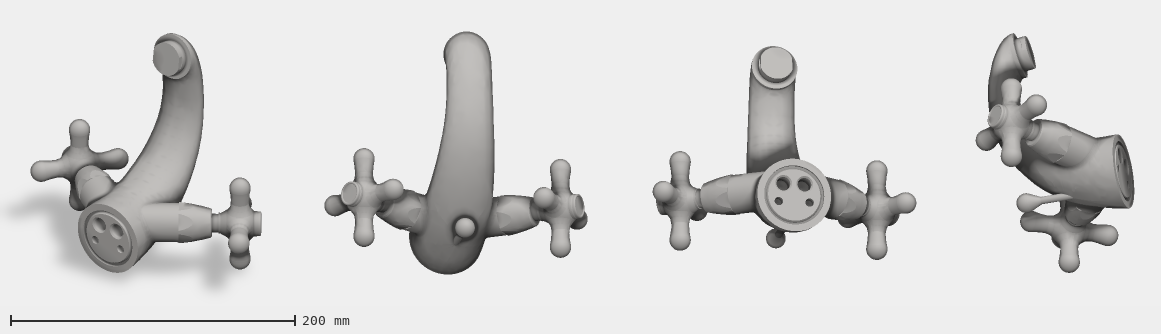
import cadquery as cq
import math


TOLERANCE = 0.002

BASE_RADIUS = 26.4
SPOUT_SECTIONS = [
    ((0.0, BASE_RADIUS), (0.0, -BASE_RADIUS), BASE_RADIUS),
    ((16.2, 26.4), (16.2, -23.0), 25.8),
    ((32.0, 28.3), (41.5, -13.5), 24.7),
    ((46.2, 32.5), (63.1, 1.1), 23.2),
    ((60.3, 40.1), (79.7, 19.8), 21.3),
    ((71.2, 51.3), (91.2, 40.0), 19.2),
    ((77.3, 63.1), (96.9, 59.4), 17.5),
    ((79.5, 78.5), (98.4, 79.1), 16.5),
    ((78.2, 90.5), (97.2, 96.1), 16.3),
    ((77.5, 93.3), (92.9, 112.1), 16.3),
    ((76.9, 94.8), (87.5, 122.9), 16.3),
]

OUTLET_CENTRE = (0, 76.0, 112.5)
OUTLET_TILT = 9.2
COLLAR_RADIUS = 16.3
COLLAR_THICKNESS = 3.0
AERATOR_RADIUS = 12.0
AERATOR_LENGTH = 7.5
AERATOR_FLAT_DISTANCE = 11.1
AERATOR_FLAT_LENGTH = 3.2

ARM_ORIGIN = (0, 11.9, 8.1)
ARM_ANGLE = 35.0
ARM_RADIUS = 13.85
ARM_BLEND = 3.8
BONNET_START = 43.0
BONNET_END = 66.1
BONNET_START_RADIUS = 14.5
BONNET_MIDDLE = (53.1, 13.2)
BONNET_END_RADIUS = 10.4
BONNET_CHAMFER = 0.8
HEX_ACROSS_FLATS = 26.4
NECK_RADIUS = 6.6

HUB_DISTANCE = 86.0
HUB_RADIUS = 13.4
HUB_BACK = 9.2
HUB_FRONT = 10.0
HUB_SHOULDER = 13.5
HUB_RING_RADIUS = 7.3
HUB_RING_END = 15.0
CAP_RADIUS = 8.7
CAP_SEAT_END = 11.9
CAP_START = 12.6
CAP_END = 14.0
CAP_FACE_RADIUS = 6.8
CAP_EDGE_HEIGHT = 0.5
BALL_RADIUS = 7.5
BALL_DISTANCE = 28.5
BALL_TANGENT = 27.1
STEM_RADIUS = 6.2
STEM_STRAIGHT_END = 17.3
STEM_FLARE_RADIUS = 10.2

GROOVE_OUTER_RADIUS = 21.5
GROOVE_FLOOR_RADIUS = 19.8
GROOVE_INNER_RADIUS = 18.7
GROOVE_DEPTH = 1.9
INLET_X = 7.5
INLET_RADIUS = 4.9
INLET_MOUTH_RADIUS = 6.0
INLET_DEPTH = 11.3
STUD_X = 11.02
STUD_Z = -5.0
STUD_RADIUS = 3.0
STUD_DEPTH = 5.7
DRILL_HALF_ANGLE = 59.0

ROD_Z = -13.2
ROD_RADIUS = 2.6
ROD_TAPER_END = 60.3
KNOB_RADIUS = 7.0
KNOB_CENTRE = 71.5
KNOB_TANGENT = 69.0


def section_wire(inner, outer, half_width):
    """Oval whose minor axis joins the inner and outer points of the spout."""
    dy = outer[0] - inner[0]
    dz = outer[1] - inner[1]
    centre = cq.Vector(0, (inner[0] + outer[0]) / 2, (inner[1] + outer[1]) / 2)
    normal = cq.Vector(0, -dz, dy)
    edge = cq.Edge.makeEllipse(
        half_width, math.hypot(dy, dz) / 2, centre, normal, xdir=cq.Vector(1, 0, 0)
    )
    return cq.Wire.assembleEdges([edge])


def outlet_plane():
    tilt = math.radians(OUTLET_TILT)
    normal = (0, -math.cos(tilt), math.sin(tilt))
    return cq.Plane(origin=OUTLET_CENTRE, xDir=(1, 0, 0), normal=normal)


def make_spout():
    wires = [section_wire(*section) for section in SPOUT_SECTIONS]
    tip = outlet_plane().toWorldCoords((0, 0, -COLLAR_THICKNESS))
    up = outlet_plane().yDir * COLLAR_RADIUS
    low = tip - up
    high = tip + up
    wires.append(section_wire((low.y, low.z), (high.y, high.z), COLLAR_RADIUS))
    return cq.Workplane(cq.Solid.makeLoft(wires))


def make_collar():
    return cq.Workplane(outlet_plane()).circle(COLLAR_RADIUS).extrude(-COLLAR_THICKNESS)


def make_aerator():
    body = cq.Workplane(outlet_plane()).circle(AERATOR_RADIUS).extrude(AERATOR_LENGTH)
    flats = (
        cq.Workplane(outlet_plane())
        .workplane(offset=AERATOR_LENGTH - AERATOR_FLAT_LENGTH)
        .rect(2 * AERATOR_FLAT_DISTANCE, 4 * AERATOR_RADIUS)
        .extrude(AERATOR_FLAT_LENGTH)
    )
    plain = (
        cq.Workplane(outlet_plane())
        .rect(4 * AERATOR_RADIUS, 4 * AERATOR_RADIUS)
        .extrude(AERATOR_LENGTH - AERATOR_FLAT_LENGTH)
    )
    return body.intersect(flats.union(plain))


def arm_plane(distance):
    """Plane square to the +X arm, with its X axis level and its Y axis up."""
    angle = math.radians(ARM_ANGLE)
    along = cq.Vector(math.cos(angle), math.sin(angle), 0)
    origin = cq.Vector(*ARM_ORIGIN) + along * distance
    return cq.Plane(origin=origin, xDir=(-along.y, along.x, 0), normal=along)


def revolved(plane, profile):
    """Turn a (radius, height) outline, drawn in the plane's ZX half plane, about the plane's normal."""
    side = cq.Plane(origin=plane.origin, xDir=plane.xDir, normal=-plane.yDir)
    return profile(cq.Workplane(side)).close().revolve(360, (0, 0, 0), (0, 1, 0))


def make_arm():
    return cq.Workplane(arm_plane(0)).circle(ARM_RADIUS).extrude(BONNET_START)


def make_bonnet():
    def profile(sketch):
        return (
            sketch.moveTo(0, BONNET_START)
            .lineTo(BONNET_START_RADIUS, BONNET_START)
            .threePointArc(
                (BONNET_MIDDLE[1], BONNET_MIDDLE[0]),
                (BONNET_END_RADIUS, BONNET_END - BONNET_CHAMFER),
            )
            .lineTo(BONNET_END_RADIUS - BONNET_CHAMFER, BONNET_END)
            .lineTo(0, BONNET_END)
        )

    hexagon = (
        cq.Workplane(arm_plane(BONNET_START))
        .transformed(rotate=(0, 0, 30))
        .polygon(6, HEX_ACROSS_FLATS, circumscribed=True)
        .extrude(BONNET_END - BONNET_START)
    )
    return revolved(arm_plane(0), profile).intersect(hexagon)


def make_neck():
    length = HUB_DISTANCE - BONNET_END
    return cq.Workplane(arm_plane(BONNET_END)).circle(NECK_RADIUS).extrude(length)


def make_hub():
    back_radius = math.sqrt(HUB_RADIUS**2 - HUB_BACK**2)
    front_radius = math.sqrt(HUB_RADIUS**2 - HUB_FRONT**2)

    def profile(sketch):
        return (
            sketch.moveTo(0, -HUB_RING_END)
            .lineTo(HUB_RING_RADIUS, -HUB_RING_END)
            .lineTo(HUB_RING_RADIUS, -HUB_SHOULDER)
            .lineTo(back_radius, -HUB_BACK)
            .threePointArc((HUB_RADIUS, 0), (front_radius, HUB_FRONT))
            .lineTo(front_radius, CAP_SEAT_END)
            .lineTo(CAP_RADIUS, CAP_START)
            .lineTo(CAP_RADIUS, CAP_END)
            .tangentArcPoint((CAP_FACE_RADIUS, CAP_END + CAP_EDGE_HEIGHT), relative=False)
            .lineTo(0, CAP_END + CAP_EDGE_HEIGHT)
        )

    return revolved(arm_plane(HUB_DISTANCE), profile)


def make_stem(turn):
    """Handle stem with a ball end, turned about the valve axis."""
    hub_plane = arm_plane(HUB_DISTANCE)
    angle = math.radians(turn)
    direction = hub_plane.xDir * math.cos(angle) + hub_plane.yDir * math.sin(angle)
    stem_plane = cq.Plane(origin=hub_plane.origin, xDir=hub_plane.zDir, normal=direction)
    ball_edge = math.sqrt(BALL_RADIUS**2 - (BALL_DISTANCE - BALL_TANGENT) ** 2)
    ball_middle = BALL_RADIUS * math.sqrt(0.5)

    def profile(sketch):
        return (
            sketch.lineTo(STEM_RADIUS, 0)
            .lineTo(STEM_RADIUS, STEM_STRAIGHT_END)
            .spline(
                [(ball_edge, BALL_TANGENT)],
                tangents=[(0, 1), (BALL_DISTANCE - BALL_TANGENT, ball_edge)],
                includeCurrent=True,
            )
            .threePointArc(
                (ball_middle, BALL_DISTANCE + ball_middle), (0, BALL_DISTANCE + BALL_RADIUS)
            )
        )

    return revolved(stem_plane, profile)


def make_handle():
    """Hub with four stems, each flaring where it leaves the hub."""
    handle = make_hub()
    for turn in (0, 90, 180, 270):
        handle = handle.union(make_stem(turn))
    hub_plane = arm_plane(HUB_DISTANCE)

    def on_root(point):
        local = hub_plane.toLocalCoords(point)
        on_sphere = abs(local.Length - HUB_RADIUS) < TOLERANCE
        return on_sphere and abs(local.z) < STEM_RADIUS + TOLERANCE

    roots = [
        edge
        for edge in handle.edges().vals()
        if all(on_root(edge.positionAt(share)) for share in (0, 0.3, 0.7, 1))
    ]
    return handle.newObject(roots).fillet(STEM_FLARE_RADIUS)


def both_sides(solid):
    return [solid, solid.mirror("YZ")]


def base_hole(x, z, radius, depth, mouth_radius):
    """Blind hole in the base face with a 45 degree mouth and a drill-point bottom."""
    tip = depth + radius / math.tan(math.radians(DRILL_HALF_ANGLE))
    mouth = [(mouth_radius, 0)] if mouth_radius > radius else []
    outline = [(0, 0), *mouth, (radius, mouth_radius - radius), (radius, depth), (0, tip)]
    return (
        cq.Workplane("XY")
        .polyline(outline)
        .close()
        .revolve(360, (0, 0, 0), (0, 1, 0))
        .translate((x, 0, z))
    )


def base_groove():
    return (
        cq.Workplane("XY")
        .polyline(
            [
                (GROOVE_INNER_RADIUS, 0),
                (GROOVE_FLOOR_RADIUS, GROOVE_DEPTH),
                (GROOVE_OUTER_RADIUS, GROOVE_DEPTH),
                (GROOVE_OUTER_RADIUS, 0),
            ]
        )
        .close()
        .revolve(360, (0, 0, 0), (0, 1, 0))
    )


def make_rod():
    knob_edge = math.sqrt(KNOB_RADIUS**2 - (KNOB_CENTRE - KNOB_TANGENT) ** 2)
    return (
        cq.Workplane("XY")
        .lineTo(ROD_RADIUS, 0)
        .lineTo(ROD_RADIUS, ROD_TAPER_END)
        .lineTo(knob_edge, KNOB_TANGENT)
        .threePointArc((KNOB_RADIUS, KNOB_CENTRE), (0, KNOB_CENTRE + KNOB_RADIUS))
        .close()
        .revolve(360, (0, 0, 0), (0, 1, 0))
        .translate((0, 0, ROD_Z))
    )


def blended_shell():
    """Spout and both arms, with the joints between them rounded."""
    shell = make_spout()
    for arm in both_sides(make_arm()):
        shell = shell.union(arm)
    joints = [
        edge
        for edge in shell.edges().vals()
        if edge.geomType() == "BSPLINE" and abs(edge.Center().x) > ARM_RADIUS
    ]
    return shell.newObject(joints).fillet(ARM_BLEND)


def make_housing():
    housing = blended_shell().union(make_collar())
    valve = make_bonnet().union(make_neck()).union(make_handle())
    for half in both_sides(valve):
        housing = housing.union(half)
    housing = housing.cut(base_groove())
    for side in (-1, 1):
        inlet = base_hole(
            side * INLET_X, ARM_ORIGIN[2], INLET_RADIUS, INLET_DEPTH, INLET_MOUTH_RADIUS
        )
        stud = base_hole(side * STUD_X, STUD_Z, STUD_RADIUS, STUD_DEPTH, STUD_RADIUS)
        housing = housing.cut(inlet).cut(stud)
    return housing


rod = make_rod()
housing = make_housing().cut(rod)
aerator = make_aerator()

result = cq.Compound.makeCompound([*housing.solids().vals(), *rod.solids().vals(), *aerator.solids().vals()])